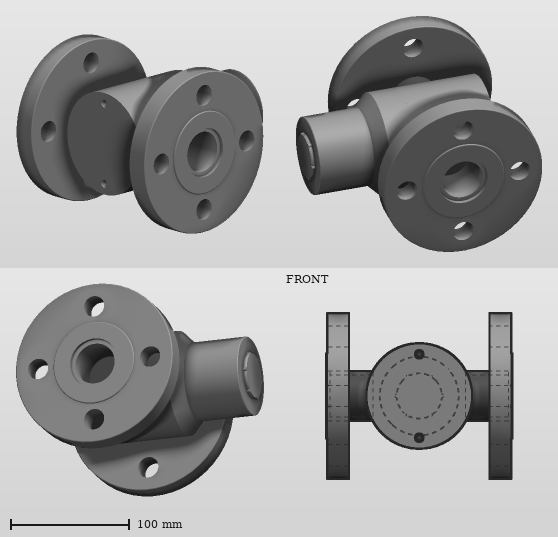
import cadquery as cq
import math

OVERALL_LENGTH = 157.0
OVERALL_DEPTH = 185.4

FLANGE_D = 140.0
FLANGE_THICKNESS = 18.4
FLANGE_FILLET = 1.0
RAISED_FACE_D = 72.0
RAISED_FACE_HEIGHT = 1.1
RAISED_FACE_FILLET = 1.0
BOLT_HOLE_D = 18.0
BOLT_CIRCLE_D = 100.0
BOLT_COUNT = 4

PIPE_D = 42.3
PIPE_BORE = 35.0
PIPE_RECESS = 3.3
SOCKET_FLOOR = 39.0

HOUSING_D = 89.0
HOUSING_FRONT = -41.9
JOINT = 29.3
SCREW_HOLE_MOUTH_D = 7.0
SCREW_HOLE_THREAD_D = 6.0
SCREW_HOLE_THREAD_DEPTH = 1.5
SCREW_HOLE_D = 5.0
SCREW_HOLE_DEPTH = 10.0
SCREW_HOLE_SPACING = 70.0

NECK_D = 67.0
CONE_START = 53.4
NECK_CHAMFER = 0.5

KNOB_D = 38.5
KNOB_HEIGHT = 3.0
KNOB_CHAMFER_HEIGHT = 1.1
KNOB_CHAMFER_WIDTH = 0.5
LOBE_D = 3.5
LOBE_TIP_D = 40.6
LOBE_COUNT = 6

face_x = OVERALL_LENGTH / 2
pipe_end_x = face_x - PIPE_RECESS
knob_end = OVERALL_DEPTH - FLANGE_D / 2
neck_end = knob_end - KNOB_HEIGHT
cone_end = CONE_START + (HOUSING_D - NECK_D) / 2


def y_cylinder(diameter, start, end):
    """Solid cylinder on the housing axis between two Y positions."""
    return cq.Workplane("XZ", origin=(0, start, 0)).circle(diameter / 2).extrude(start - end)


def x_cylinder(diameter, start, end):
    """Solid cylinder on the pipe axis between two X positions."""
    return cq.Workplane("YZ", origin=(start, 0, 0)).circle(diameter / 2).extrude(end - start)


def both_sides(body):
    """A body on the +X side and its mirror image on the -X side."""
    return [body, body.mirror("YZ")]


def make_flange():
    inner_x = face_x - RAISED_FACE_HEIGHT - FLANGE_THICKNESS
    disc = x_cylinder(FLANGE_D, inner_x, inner_x + FLANGE_THICKNESS).edges().fillet(FLANGE_FILLET)
    hub = x_cylinder(RAISED_FACE_D, inner_x, face_x).faces(">X").edges().fillet(RAISED_FACE_FILLET)
    bolt_holes = (
        cq.Workplane("YZ", origin=(inner_x, 0, 0))
        .polarArray(BOLT_CIRCLE_D / 2, 0, 360, BOLT_COUNT)
        .circle(BOLT_HOLE_D / 2)
        .extrude(FLANGE_THICKNESS)
    )
    return disc.union(hub).cut(bolt_holes).cut(x_cylinder(PIPE_D, inner_x, face_x))


def make_pipe():
    outside = x_cylinder(PIPE_D, SOCKET_FLOOR, pipe_end_x)
    return outside.cut(x_cylinder(PIPE_BORE, SOCKET_FLOOR, pipe_end_x))


def make_screw_hole(z):
    """Stepped blind hole in the housing's front face, with a 45 degree countersink."""
    countersink_depth = (SCREW_HOLE_MOUTH_D - SCREW_HOLE_THREAD_D) / 2
    profile = [
        (0, 0),
        (SCREW_HOLE_MOUTH_D / 2, 0),
        (SCREW_HOLE_THREAD_D / 2, countersink_depth),
        (SCREW_HOLE_THREAD_D / 2, SCREW_HOLE_THREAD_DEPTH),
        (SCREW_HOLE_D / 2, SCREW_HOLE_THREAD_DEPTH),
        (SCREW_HOLE_D / 2, SCREW_HOLE_DEPTH),
        (0, SCREW_HOLE_DEPTH),
    ]
    hole = cq.Workplane("XY").polyline(profile).close().revolve(360, (0, 0), (0, 1))
    return hole.translate((0, HOUSING_FRONT, z))


def make_housing():
    housing = y_cylinder(HOUSING_D, HOUSING_FRONT, JOINT)
    for socket in both_sides(x_cylinder(PIPE_D, SOCKET_FLOOR, HOUSING_D / 2)):
        housing = housing.cut(socket)
    for side in (-1, 1):
        housing = housing.cut(make_screw_hole(side * SCREW_HOLE_SPACING / 2))
    return housing


def make_bonnet():
    profile = [
        (0, JOINT),
        (HOUSING_D / 2, JOINT),
        (HOUSING_D / 2, CONE_START),
        (NECK_D / 2, cone_end),
        (NECK_D / 2, neck_end - NECK_CHAMFER),
        (NECK_D / 2 - NECK_CHAMFER, neck_end),
        (0, neck_end),
    ]
    return cq.Workplane("XY").polyline(profile).close().revolve(360, (0, 0), (0, 1))


def make_knob():
    profile = [
        (0, neck_end),
        (KNOB_D / 2, neck_end),
        (KNOB_D / 2, knob_end - KNOB_CHAMFER_HEIGHT),
        (KNOB_D / 2 - KNOB_CHAMFER_WIDTH, knob_end),
        (0, knob_end),
    ]
    knob = cq.Workplane("XY").polyline(profile).close().revolve(360, (0, 0), (0, 1))
    lobe_circle_radius = (LOBE_TIP_D - LOBE_D) / 2
    for index in range(LOBE_COUNT):
        angle = index * 2 * math.pi / LOBE_COUNT
        x = lobe_circle_radius * math.cos(angle)
        z = lobe_circle_radius * math.sin(angle)
        knob = knob.union(y_cylinder(LOBE_D, neck_end, knob_end).translate((x, 0, z)))
    return knob


housing = make_housing()
bonnet = make_bonnet()
knob = make_knob()
flanges = both_sides(make_flange())
pipes = both_sides(make_pipe())

result = cq.Compound.makeCompound(
    [housing.val(), bonnet.val(), knob.val()]
    + [flange.val() for flange in flanges]
    + [pipe.val() for pipe in pipes]
)